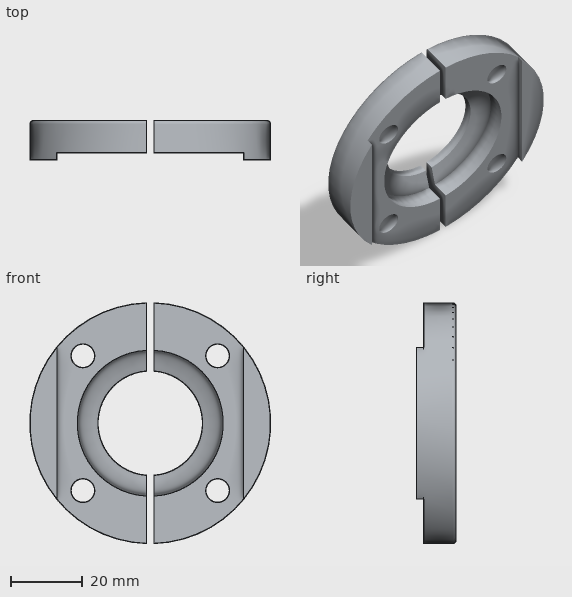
import cadquery as cq
import math


outer_radius = 33.5
rear_fillet = 1.0
web_thickness = 9.0
lip_height = 2.0
total_thickness = web_thickness + lip_height
split_gap = 2.0

channel_width = 52.0

bore_radius = 14.5
recess_radius = 20.3
recess_depth = 5.0
cone_slope_angle = 15.0
cone_length = (recess_radius - bore_radius) * math.tan(math.radians(cone_slope_angle))
land_length = web_thickness - recess_depth - cone_length

hole_diameter = 6.5
hole_circle_radius = 26.5
hole_angle = 45.0
hole_offset_x = hole_circle_radius * math.cos(math.radians(hole_angle))
hole_offset_z = hole_circle_radius * math.sin(math.radians(hole_angle))


def make_ring_blank():
    """Revolve the ring section (radius, Y) about the Y axis, with its rounded rear edge."""
    recess_floor = recess_depth - web_thickness
    fillet_mid = rear_fillet * (1 - math.sqrt(0.5))
    return (
        cq.Workplane("XY")
        .moveTo(bore_radius, 0)
        .lineTo(outer_radius - rear_fillet, 0)
        .threePointArc((outer_radius - fillet_mid, -fillet_mid), (outer_radius, -rear_fillet))
        .lineTo(outer_radius, -total_thickness)
        .lineTo(recess_radius, -total_thickness)
        .lineTo(recess_radius, recess_floor)
        .lineTo(bore_radius, -land_length)
        .close()
        .revolve(360, (0, 0, 0), (0, 1, 0))
    )


def make_channel():
    """Block that lowers the front face between the two lips."""
    return (
        cq.Workplane("XY")
        .box(channel_width, lip_height, 2 * outer_radius)
        .translate((0, -web_thickness - lip_height / 2, 0))
    )


def make_half(side):
    """One ring half: side is +1 for the +X half and -1 for the -X half."""
    half_space = (
        cq.Workplane("XY")
        .box(outer_radius, total_thickness, 2 * outer_radius)
        .translate((side * (split_gap + outer_radius) / 2, -total_thickness / 2, 0))
    )
    holes = (
        cq.Workplane("XZ")
        .pushPoints([(side * hole_offset_x, z) for z in (-hole_offset_z, hole_offset_z)])
        .circle(hole_diameter / 2)
        .extrude(total_thickness)
    )
    return make_ring_blank().cut(make_channel()).intersect(half_space).cut(holes)


ring_halves = [make_half(side) for side in (-1, 1)]

result = cq.Compound.makeCompound([half.solids().val() for half in ring_halves])